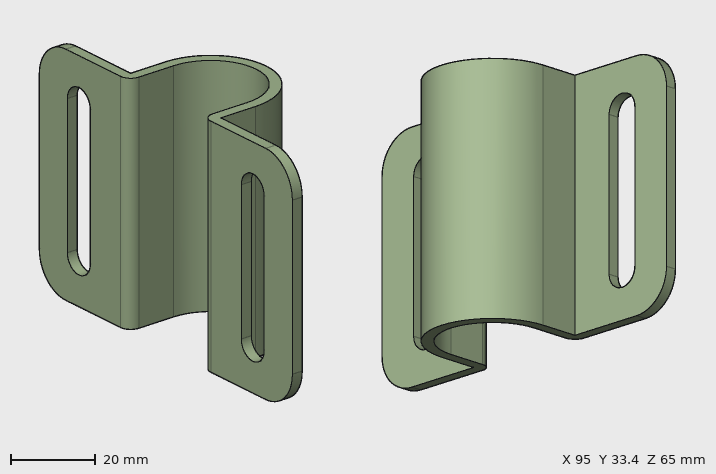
import cadquery as cq

length = 95.0
height = 65.0
thickness = 3.0
outer_radius = 16.9
base_depth = 13.7
corner_radius = 10.0
slot_width = 8.55
slot_length = 48.5
slot_spacing = 65.3
tilt = 3.4

inner_radius = outer_radius - thickness
bend_radius = thickness
half_length = length / 2
flange_top = thickness - base_depth


def make_strap():
    """Bent sheet: two flanges joined by straight legs and a half-round saddle."""
    return (
        cq.Workplane("XY")
        .moveTo(-half_length, -base_depth)
        .lineTo(-half_length, flange_top)
        .lineTo(-outer_radius, flange_top)
        .lineTo(-outer_radius, 0)
        .threePointArc((0, outer_radius), (outer_radius, 0))
        .lineTo(outer_radius, flange_top)
        .lineTo(half_length, flange_top)
        .lineTo(half_length, -base_depth)
        .lineTo(inner_radius + bend_radius, -base_depth)
        .radiusArc((inner_radius, bend_radius - base_depth), bend_radius)
        .lineTo(inner_radius, 0)
        .threePointArc((0, inner_radius), (-inner_radius, 0))
        .lineTo(-inner_radius, bend_radius - base_depth)
        .radiusArc((-inner_radius - bend_radius, -base_depth), bend_radius)
        .close()
        .extrude(height / 2, both=True)
    )


def round_flange_corners(strap):
    """Round the four outer corners of the flanges."""
    return strap.faces("<X or >X").edges("|Y").fillet(corner_radius)


def make_slots():
    """Upright slots through both flanges."""
    return (
        cq.Workplane("XZ", origin=(0, flange_top, 0))
        .pushPoints([(-slot_spacing / 2, 0), (slot_spacing / 2, 0)])
        .slot2D(slot_length, slot_width, 90)
        .extrude(thickness)
    )


bracket = round_flange_corners(make_strap()).cut(make_slots())
result = bracket.rotate((0, 0, 0), (0, 0, 1), -tilt)